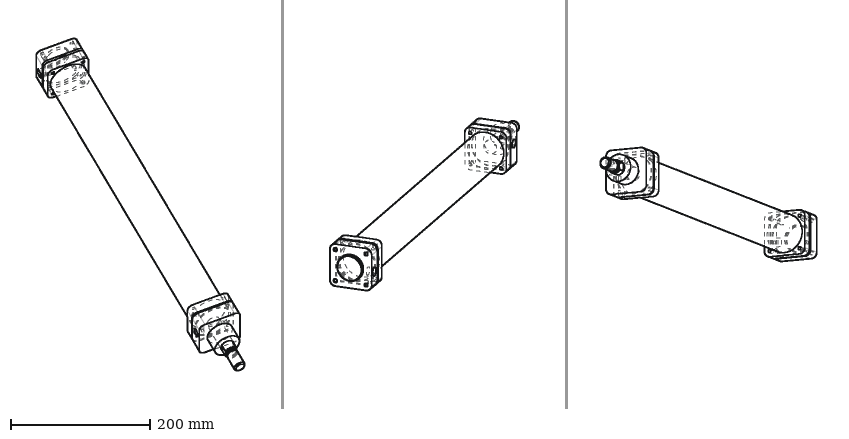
import cadquery as cq

TOTAL_LENGTH = 629.0

PLATE_SIDE = 65.0
CORNER_RADIUS = 9.0
BOLT_OFFSET = 24.0
BOLT_HOLE_DIAMETER = 4.5
CAP_BOLT_HOLE_DEPTH = 12.5
BOLT_HOLE_CHAMFER = 0.5
CHAMFER_ANGLE = 45
FLANGE_THICKNESS = 15.0

BOSS_DIAMETER = 39.5
BOSS_LENGTH = 5.0
BOSS_CHAMFER = 1.0
REAR_CAP_THICKNESS = 21.0
REAR_GAP = 4.0

FRONT_FLANGE_START = 519.5
FRONT_GAP = 2.0
FRONT_CAP_THICKNESS = 23.0
COLLAR_DIAMETER = BOSS_DIAMETER
COLLAR_LENGTH = 25.0

PORT_DIAMETER = 12.5
PORT_DEPTH = 10.0
PORT_OFFSET = 5.5

BARREL_DIAMETER = 56.5

ROD_DIAMETER = 20.0
ROD_EXTENSION = 14.0
ROD_CHAMFER = 1.0
FLATS_WIDTH = 17.0
FLATS_LENGTH = 12.5
NECK_DIAMETER = 14.5
NECK_LENGTH = 3.0
THREAD_DIAMETER = 17.0
THREAD_CHAMFER = 2.0

REAR_CAP_START = BOSS_LENGTH
REAR_CAP_END = REAR_CAP_START + REAR_CAP_THICKNESS
REAR_FLANGE_START = REAR_CAP_END + REAR_GAP
FRONT_CAP_START = FRONT_FLANGE_START + FLANGE_THICKNESS + FRONT_GAP
FRONT_CAP_END = FRONT_CAP_START + FRONT_CAP_THICKNESS
COLLAR_END = FRONT_CAP_END + COLLAR_LENGTH
ROD_SHOULDER = COLLAR_END + ROD_EXTENSION
THREAD_START = ROD_SHOULDER + NECK_LENGTH


def cylinder(diameter, start, end):
    """Solid cylinder on the X axis between two stations."""
    return cq.Workplane("YZ", origin=(start, 0, 0)).circle(diameter / 2).extrude(end - start)


def square_plate(start, thickness):
    """Square plate with rounded corners."""
    return (
        cq.Workplane("YZ", origin=(start, 0, 0))
        .rect(PLATE_SIDE, PLATE_SIDE)
        .extrude(thickness)
        .edges("|X")
        .fillet(CORNER_RADIUS)
    )


def bolt_circles(start, diameter):
    """Four circles near the plate corners, drawn across the X axis at a station."""
    return (
        cq.Workplane("YZ", origin=(start, 0, 0))
        .rect(2 * BOLT_OFFSET, 2 * BOLT_OFFSET, forConstruction=True)
        .vertices()
        .circle(diameter / 2)
    )


def bolt_holes(start, depth):
    """Four straight bolt-hole cutters running along +X from a station."""
    return bolt_circles(start, BOLT_HOLE_DIAMETER).extrude(depth)


def bolt_hole_chamfers(start):
    """Four conical cutters that chamfer the bolt-hole mouths at a station."""
    mouth_diameter = BOLT_HOLE_DIAMETER + 2 * BOLT_HOLE_CHAMFER
    return bolt_circles(start, mouth_diameter).extrude(BOLT_HOLE_CHAMFER, taper=CHAMFER_ANGLE)


def air_port(x, z):
    """Blind round port going into the -Y side of a cap."""
    return (
        cq.Workplane("XZ", origin=(x, -PLATE_SIDE / 2, z))
        .circle(PORT_DIAMETER / 2)
        .extrude(-PORT_DEPTH)
    )


def make_rear_cap():
    """Rear cap with its round boss and its air port below the axis."""
    cap = square_plate(REAR_CAP_START, REAR_CAP_THICKNESS)
    cap = cap.cut(bolt_holes(REAR_CAP_START, CAP_BOLT_HOLE_DEPTH))
    cap = cap.cut(bolt_hole_chamfers(REAR_CAP_START))
    boss = cylinder(BOSS_DIAMETER, 0, REAR_CAP_START).faces("<X").chamfer(BOSS_CHAMFER)
    cap = cap.union(boss)
    return cap.cut(air_port(REAR_CAP_START + REAR_CAP_THICKNESS / 2, -PORT_OFFSET))


def make_front_cap():
    """Front cap with its rod collar, rod bore and air port above the axis."""
    cap = square_plate(FRONT_CAP_START, FRONT_CAP_THICKNESS)
    cap = cap.union(cylinder(COLLAR_DIAMETER, FRONT_CAP_END, COLLAR_END))
    cap = cap.cut(cylinder(ROD_DIAMETER, FRONT_CAP_START, COLLAR_END))
    return cap.cut(air_port(FRONT_CAP_START + FRONT_CAP_THICKNESS / 2, PORT_OFFSET))


def make_flange(start):
    """Flange plate that fits around the barrel."""
    flange = square_plate(start, FLANGE_THICKNESS)
    flange = flange.cut(bolt_holes(start, FLANGE_THICKNESS))
    return flange.cut(cylinder(BARREL_DIAMETER, start, start + FLANGE_THICKNESS))


def make_barrel():
    """Barrel reaching from one cap to the other."""
    return cylinder(BARREL_DIAMETER, REAR_CAP_END, FRONT_CAP_START)


def make_piston_rod():
    """Piston rod with wrench flats on its +Y and -Y sides, a neck and a chamfered thread."""
    shank = cylinder(ROD_DIAMETER, FRONT_CAP_START, ROD_SHOULDER).faces(">X").chamfer(ROD_CHAMFER)
    side_cuts = (
        cq.Workplane("YZ", origin=(ROD_SHOULDER - FLATS_LENGTH, 0, 0))
        .rect(2 * ROD_DIAMETER, 2 * ROD_DIAMETER)
        .rect(FLATS_WIDTH, 2 * ROD_DIAMETER)
        .extrude(FLATS_LENGTH)
    )
    neck = cylinder(NECK_DIAMETER, ROD_SHOULDER, THREAD_START)
    thread = cylinder(THREAD_DIAMETER, THREAD_START, TOTAL_LENGTH).faces(">X").chamfer(THREAD_CHAMFER)
    return shank.cut(side_cuts).union(neck).union(thread)


rear_cap = make_rear_cap()
front_cap = make_front_cap()
barrel = make_barrel()
piston_rod = make_piston_rod()
flanges = [make_flange(start) for start in (REAR_FLANGE_START, FRONT_FLANGE_START)]

result = cq.Compound.makeCompound([
    rear_cap.val(),
    *[flange.val() for flange in flanges],
    barrel.val(),
    front_cap.val(),
    piston_rod.val(),
])